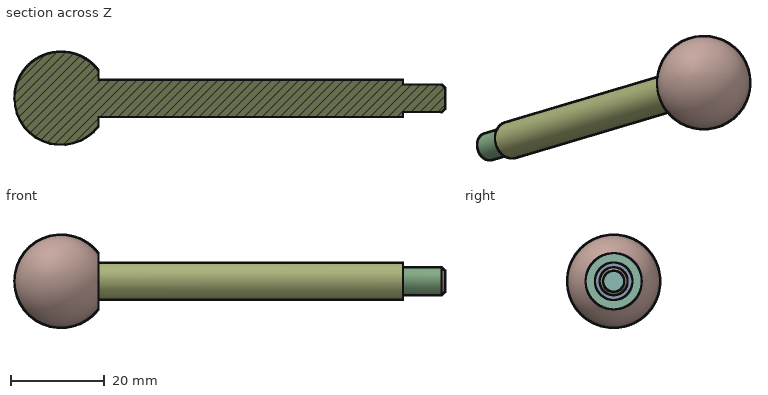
import cadquery as cq

ball_diameter = 20.0
shaft_diameter = 8.0
pin_diameter = 6.0
overall_length = 92.0
ball_length = 18.0
pin_length = 9.0
pin_chamfer = 0.75

ball_radius = ball_diameter / 2
ball_tip_x = -ball_radius
ball_flat_x = ball_tip_x + ball_length
pin_end_x = ball_tip_x + overall_length
shoulder_x = pin_end_x - pin_length
ball_flat_radius = (ball_radius**2 - ball_flat_x**2) ** 0.5


def make_ball():
    """Ball with a flat face where the shaft leaves it."""
    profile = (
        cq.Workplane("XY")
        .moveTo(ball_tip_x, 0)
        .threePointArc((0, ball_radius), (ball_flat_x, ball_flat_radius))
        .lineTo(ball_flat_x, 0)
        .close()
    )
    return profile.revolve(360, (0, 0, 0), (1, 0, 0))


def make_rod(diameter, start_x, end_x):
    """Round rod along X between two positions."""
    return cq.Workplane("YZ", origin=(start_x, 0, 0)).circle(diameter / 2).extrude(end_x - start_x)


def make_pin():
    """Reduced end pin with a chamfered tip."""
    return make_rod(pin_diameter, shoulder_x, pin_end_x).faces(">X").chamfer(pin_chamfer)


shaft = make_rod(shaft_diameter, ball_flat_x, shoulder_x)
result = make_ball().union(shaft).union(make_pin())